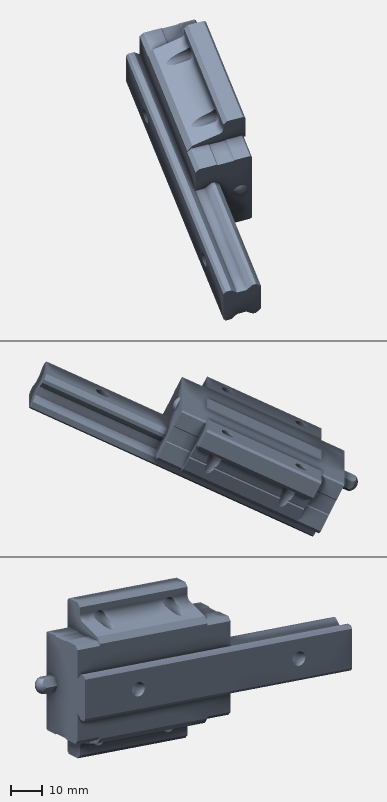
import cadquery as cq
import math


RAIL_LENGTH = 99.9
RAIL_HEIGHT = 12.5
RAIL_HALF_WIDTH = 7.5
RAIL_BASE_CHAMFER_Y = 0.7
RAIL_BASE_CHAMFER_Z = 1.0
RAIL_WAIST_HALF_WIDTH = 5.6
RAIL_FOOT_TOP = 2.7
RAIL_WAIST_BOTTOM = 4.6
RAIL_WAIST_TOP = 7.6
RAIL_HEAD_BOTTOM = 9.8
RAIL_HEAD_CHAMFER = 1.6
RAIL_HOLE_DIAMETER = 4.8
RAIL_HOLE_END_DISTANCE = 19.9

CARRIAGE_LENGTH = 57.3
CARRIAGE_BOTTOM = RAIL_WAIST_BOTTOM
BLOCK_START = 8.4
BLOCK_LENGTH = 40.3
BLOCK_END = BLOCK_START + BLOCK_LENGTH
BLOCK_MID_X = BLOCK_START + BLOCK_LENGTH / 2
BLOCK_TOP = 24.0
FLANGE_HALF_WIDTH = 26.0
FLANGE_BOTTOM = 16.7
FLANGE_TOP_CHAMFER = 0.7
FLANGE_BOTTOM_CHAMFER = 1.3
FLANGE_ROOT_HALF_WIDTH = 20.7
FLANGE_ROOT_FILLET = 2.0
SIDE_SLOPE_BOTTOM_Y = 6.3
SIDE_SLOPE_BOTTOM_Z = 17.8
BLOCK_BOTTOM_HALF_WIDTH = 15.8

FLANGE_HOLE_DIAMETER = 4.1
FLANGE_HOLE_SPACING_X = 26.0
FLANGE_HOLE_Z = 20.5

REFERENCE_GROOVE_Z = 19.2
REFERENCE_GROOVE_RADIUS = 0.4

CAP_TOP = 23.3
CAP_HALF_WIDTH = 16.4
CAP_TOP_CHAMFER = 0.5
CAP_BOTTOM_CHAMFER = 1.3
CAP_BAND_DEPTH = 0.3
CAP_BAND_TOP = 17.6
CAP_BAND_BOTTOM = 11.7

TOP_RECESS_INNER = 4.5
TOP_RECESS_OUTER = 15.5

NIPPLE_Y = 19.5
NIPPLE_LENGTH = 6.2
NIPPLE_ACROSS_FLATS = 5.0
NIPPLE_ACROSS_CORNERS = NIPPLE_ACROSS_FLATS / math.cos(math.pi / 6)
NIPPLE_TIP_RADIUS = 3.0
PLUG_DIAMETER = 4.9
PLUG_HEIGHT = 1.1


def mirrored_prism(half_outline, start_x, length):
    """Extrude along X the outline given by (y, z) points on +Z, mirrored to -Z."""
    other_half = [(y, -z) for y, z in reversed(half_outline)]
    return (
        cq.Workplane("YZ")
        .polyline(half_outline + other_half)
        .close()
        .extrude(length)
        .translate((start_x, 0, 0))
    )


def y_cylinders(diameter, centers, height):
    """Cylinders rising along Y from Y = 0 at the given (x, z) centers."""
    cylinders = cq.Workplane("XY")
    for x, z in centers:
        cylinders.add(cq.Solid.makeCylinder(diameter / 2, height, cq.Vector(x, 0, z), cq.Vector(0, 1, 0)))
    return cylinders.combine()


def rail_bar():
    half_outline = [
        (0, RAIL_HALF_WIDTH - RAIL_BASE_CHAMFER_Z),
        (RAIL_BASE_CHAMFER_Y, RAIL_HALF_WIDTH),
        (RAIL_FOOT_TOP, RAIL_HALF_WIDTH),
        (RAIL_WAIST_BOTTOM, RAIL_WAIST_HALF_WIDTH),
        (RAIL_WAIST_TOP, RAIL_WAIST_HALF_WIDTH),
        (RAIL_HEAD_BOTTOM, RAIL_HALF_WIDTH),
        (RAIL_HEIGHT - RAIL_HEAD_CHAMFER, RAIL_HALF_WIDTH),
        (RAIL_HEIGHT, RAIL_HALF_WIDTH - RAIL_HEAD_CHAMFER),
    ]
    return mirrored_prism(half_outline, 0, RAIL_LENGTH)


def make_rail():
    hole_centers = [(RAIL_HOLE_END_DISTANCE, 0), (RAIL_LENGTH - RAIL_HOLE_END_DISTANCE, 0)]
    return rail_bar().cut(y_cylinders(RAIL_HOLE_DIAMETER, hole_centers, RAIL_HEIGHT))


def flanged_block():
    half_outline = [
        (CARRIAGE_BOTTOM, BLOCK_BOTTOM_HALF_WIDTH),
        (SIDE_SLOPE_BOTTOM_Y, SIDE_SLOPE_BOTTOM_Z),
        (FLANGE_BOTTOM, FLANGE_ROOT_HALF_WIDTH),
        (FLANGE_BOTTOM, FLANGE_HALF_WIDTH - FLANGE_BOTTOM_CHAMFER),
        (FLANGE_BOTTOM + FLANGE_BOTTOM_CHAMFER, FLANGE_HALF_WIDTH),
        (BLOCK_TOP - FLANGE_TOP_CHAMFER, FLANGE_HALF_WIDTH),
        (BLOCK_TOP, FLANGE_HALF_WIDTH - FLANGE_TOP_CHAMFER),
    ]
    block = mirrored_prism(half_outline, BLOCK_START, BLOCK_LENGTH)
    for side in (-1, 1):
        root = cq.selectors.NearestToPointSelector((BLOCK_MID_X, FLANGE_BOTTOM, side * FLANGE_ROOT_HALF_WIDTH))
        block = block.edges("|X").edges(root).fillet(FLANGE_ROOT_FILLET)
    return block


def flange_holes():
    half_spacing = FLANGE_HOLE_SPACING_X / 2
    centers = [
        (BLOCK_MID_X + x_side * half_spacing, z_side * FLANGE_HOLE_Z)
        for x_side in (-1, 1)
        for z_side in (-1, 1)
    ]
    return y_cylinders(FLANGE_HOLE_DIAMETER, centers, BLOCK_TOP)


def reference_groove():
    """Fine round groove centred on the sloping surface of the -Z side."""
    slope_run = (FLANGE_BOTTOM - SIDE_SLOPE_BOTTOM_Y) / (FLANGE_ROOT_HALF_WIDTH - SIDE_SLOPE_BOTTOM_Z)
    groove_y = SIDE_SLOPE_BOTTOM_Y + slope_run * (REFERENCE_GROOVE_Z - SIDE_SLOPE_BOTTOM_Z)
    return (
        cq.Workplane("YZ")
        .center(groove_y, -REFERENCE_GROOVE_Z)
        .circle(REFERENCE_GROOVE_RADIUS)
        .extrude(BLOCK_LENGTH)
        .translate((BLOCK_START, 0, 0))
    )


def top_recess(side):
    """Lengthwise recess in the block top between the centre land and one flange."""
    recess_mid = (TOP_RECESS_INNER + TOP_RECESS_OUTER) / 2
    return (
        cq.Workplane("XY")
        .box(BLOCK_LENGTH, BLOCK_TOP - CAP_TOP, TOP_RECESS_OUTER - TOP_RECESS_INNER)
        .translate((BLOCK_MID_X, (BLOCK_TOP + CAP_TOP) / 2, side * recess_mid))
    )


def end_cap(start_x, end_x):
    half_outline = [
        (CARRIAGE_BOTTOM, CAP_HALF_WIDTH - CAP_BOTTOM_CHAMFER),
        (CARRIAGE_BOTTOM + CAP_BOTTOM_CHAMFER, CAP_HALF_WIDTH),
        (CAP_BAND_BOTTOM, CAP_HALF_WIDTH),
        (CAP_BAND_BOTTOM + CAP_BAND_DEPTH, CAP_HALF_WIDTH - CAP_BAND_DEPTH),
        (CAP_BAND_TOP - CAP_BAND_DEPTH, CAP_HALF_WIDTH - CAP_BAND_DEPTH),
        (CAP_BAND_TOP, CAP_HALF_WIDTH),
        (CAP_TOP - CAP_TOP_CHAMFER, CAP_HALF_WIDTH),
        (CAP_TOP, CAP_HALF_WIDTH - CAP_TOP_CHAMFER),
    ]
    return mirrored_prism(half_outline, start_x, end_x - start_x)


def spherical_cap(radius, height, base_x, direction):
    """Cap of a sphere on the nipple axis, standing out from base_x along +X or -X (direction 1 or -1)."""
    base_radius = math.sqrt(height * (2 * radius - height))
    center_to_base = radius - height
    half_angle = math.acos(center_to_base / radius) / 2
    arc_middle = (
        direction * (radius * math.cos(half_angle) - center_to_base),
        radius * math.sin(half_angle),
    )
    return (
        cq.Workplane("XY")
        .lineTo(0, base_radius)
        .threePointArc(arc_middle, (direction * height, 0))
        .close()
        .revolve(360, (0, 0, 0), (1, 0, 0))
        .translate((base_x, NIPPLE_Y, 0))
    )


def grease_nipple():
    """Hexagonal stem on the first cap, rounded off by a sphere at its tip."""
    tip_center_x = NIPPLE_TIP_RADIUS - NIPPLE_LENGTH
    barrel = (
        cq.Workplane("YZ")
        .center(NIPPLE_Y, 0)
        .circle(NIPPLE_TIP_RADIUS)
        .extrude(tip_center_x)
    )
    rounded_barrel = barrel.union(spherical_cap(NIPPLE_TIP_RADIUS, NIPPLE_TIP_RADIUS, tip_center_x, -1))
    stem = (
        cq.Workplane("YZ")
        .center(NIPPLE_Y, 0)
        .polygon(6, NIPPLE_ACROSS_CORNERS)
        .extrude(-NIPPLE_LENGTH)
    )
    return stem.intersect(rounded_barrel)


def domed_plug():
    """Low dome that stands out from the second end cap."""
    dome_radius = ((PLUG_DIAMETER / 2) ** 2 + PLUG_HEIGHT ** 2) / (2 * PLUG_HEIGHT)
    return spherical_cap(dome_radius, PLUG_HEIGHT, CARRIAGE_LENGTH, 1)


def make_carriage():
    block = flanged_block().cut(flange_holes()).cut(reference_groove())
    for side in (-1, 1):
        block = block.cut(top_recess(side))
    body = (
        block
        .union(end_cap(0, BLOCK_START))
        .union(end_cap(BLOCK_END, CARRIAGE_LENGTH))
        .union(grease_nipple())
        .union(domed_plug())
    )
    return body.cut(rail_bar())


rail = make_rail()
carriage = make_carriage()

result = cq.Compound.makeCompound([rail.solids().val(), carriage.solids().val()])